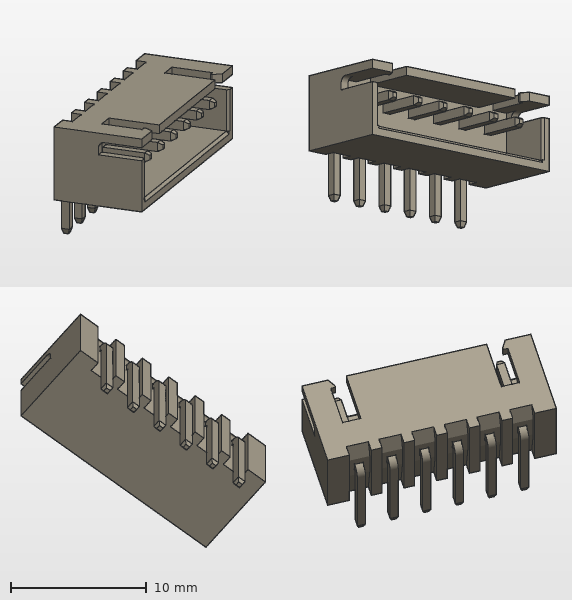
import cadquery as cq
import math


HOUSING_DEPTH = 7.0
HOUSING_LENGTH = 17.5
HOUSING_HEIGHT = 5.7
TOP_WALL = 0.68
SIDE_WALL = 0.66
FLOOR = 0.79
CAVITY_DEPTH = 4.0
LEAD_IN = 0.21
SIDE_LEAD_IN = 0.15

ARM_WIDTH = 1.98
TOP_SLOT_WIDTH = 1.4
SIDE_SLOT_DEPTH = 3.46
SIDE_SLOT_HEIGHT = 1.02
SIDE_SLOT_RADIUS = 0.5

HOOK_LENGTH = 0.79
HOOK_HEIGHT = 0.37
HOOK_FLAT = 0.14

PIN_COUNT = 6
PITCH = HOUSING_LENGTH / (PIN_COUNT + 1)
PIN_WIDTH = 0.63
CONTACT_HEIGHT = 0.72
PIN_TOP_INSET = 1.89
PIN_FRONT_INSET = 0.32
OVERALL_HEIGHT = 9.1
BEND_RADIUS = 0.74
TIP_WIDTH = 0.35
LEG_TIP_LENGTH = 0.42
CONTACT_TIP_LENGTH = 0.37
HOLE_WIDTH = 0.7

RECESS_WIDTH = 1.68
RECESS_MOUTH_DEPTH = 0.8
RECESS_DEPTH = 0.4
RECESS_TOP_SLOPE = 1.31
RECESS_BOTTOM_SLOPE = 2.48

PIN_ROW = [(i - (PIN_COUNT - 1) / 2) * PITCH for i in range(PIN_COUNT)]
PIN_TOP = HOUSING_HEIGHT - PIN_TOP_INSET
PIN_BOTTOM = HOUSING_HEIGHT - OVERALL_HEIGHT
PIN_FRONT = HOUSING_DEPTH - PIN_FRONT_INSET
CONTACT_BOTTOM = PIN_TOP - CONTACT_HEIGHT
CAVITY_BACK = HOUSING_DEPTH - CAVITY_DEPTH
CAVITY_TOP = HOUSING_HEIGHT - TOP_WALL
ARM_INNER_Y = HOUSING_LENGTH / 2 - ARM_WIDTH


def block(x_range, y_range, z_range):
    """Box between two limits on each axis."""
    (x0, x1), (y0, y1), (z0, z1) = x_range, y_range, z_range
    return cq.Workplane("XY").box(x1 - x0, y1 - y0, z1 - z0, centered=False).translate((x0, y0, z0))


def plug_cavity():
    """Cavity open at the mating face, with a lead-in on the floor and on both side walls."""
    inner_y = HOUSING_LENGTH / 2 - SIDE_WALL
    cavity = block((CAVITY_BACK, HOUSING_DEPTH), (-inner_y, inner_y), (FLOOR, CAVITY_TOP))
    floor_lead_in = (
        cq.Workplane("XZ")
        .polyline([
            (HOUSING_DEPTH - LEAD_IN, FLOOR),
            (HOUSING_DEPTH, FLOOR),
            (HOUSING_DEPTH, FLOOR - LEAD_IN),
        ])
        .close()
        .extrude(inner_y, both=True)
    )
    cavity = cavity.union(floor_lead_in)
    side_lead_in = (
        cq.Workplane("XY", origin=(0, 0, FLOOR))
        .polyline([
            (HOUSING_DEPTH - LEAD_IN, inner_y),
            (HOUSING_DEPTH, inner_y + SIDE_LEAD_IN),
            (HOUSING_DEPTH, inner_y),
        ])
        .close()
        .extrude(CAVITY_TOP - FLOOR)
    )
    return cavity.union(side_lead_in).union(side_lead_in.mirror("XZ"))


def side_slot():
    """Slot through both side walls under the latch arms, rounded at its upper blind corner."""
    slot = block(
        (HOUSING_DEPTH - SIDE_SLOT_DEPTH, HOUSING_DEPTH),
        (-HOUSING_LENGTH / 2, HOUSING_LENGTH / 2),
        (CAVITY_TOP - SIDE_SLOT_HEIGHT, CAVITY_TOP),
    )
    return slot.edges("<X and >Z").fillet(SIDE_SLOT_RADIUS)


def top_slot():
    """Slot through the top wall beside the +Y latch arm, following the outline of the arm's hook."""
    hook_start = HOUSING_DEPTH - HOOK_LENGTH
    hook_y = ARM_INNER_Y - HOOK_HEIGHT
    panel_y = ARM_INNER_Y - TOP_SLOT_WIDTH
    return (
        cq.Workplane("XY", origin=(0, 0, CAVITY_TOP))
        .polyline([
            (CAVITY_BACK, panel_y),
            (CAVITY_BACK, ARM_INNER_Y),
            (hook_start, ARM_INNER_Y),
            (hook_start, hook_y),
            (hook_start + HOOK_FLAT, hook_y),
            (HOUSING_DEPTH, ARM_INNER_Y),
            (HOUSING_DEPTH, panel_y),
        ])
        .close()
        .extrude(TOP_WALL)
    )


def rear_recess(y):
    """Recess in the rear face behind one pin, deepening toward the top and the bottom."""
    return (
        cq.Workplane("XZ", origin=(0, y, 0))
        .polyline([
            (0, 0),
            (RECESS_MOUTH_DEPTH, 0),
            (RECESS_DEPTH, RECESS_BOTTOM_SLOPE),
            (RECESS_DEPTH, HOUSING_HEIGHT - RECESS_TOP_SLOPE),
            (RECESS_MOUTH_DEPTH, HOUSING_HEIGHT),
            (0, HOUSING_HEIGHT),
        ])
        .close()
        .extrude(RECESS_WIDTH / 2, both=True)
    )


def pin_hole(y):
    """Hole for one pin, as high as its contact leg, from the rear recess into the cavity."""
    half = HOLE_WIDTH / 2
    return block((0, CAVITY_BACK), (y - half, y + half), (CONTACT_BOTTOM, PIN_TOP))


def make_housing():
    """Shrouded housing with latch arms, rear recesses and pin holes."""
    half_length = HOUSING_LENGTH / 2
    housing = block((0, HOUSING_DEPTH), (-half_length, half_length), (0, HOUSING_HEIGHT))
    housing = housing.cut(plug_cavity()).cut(side_slot())
    housing = housing.cut(top_slot()).cut(top_slot().mirror("XZ"))
    for y in PIN_ROW:
        housing = housing.cut(rear_recess(y)).cut(pin_hole(y))
    return housing


def pin_tip(plane, height, length):
    """Tapered pin end of the given base height and length, growing along the normal of the plane."""
    return (
        cq.Workplane(plane)
        .rect(PIN_WIDTH, height)
        .workplane(offset=length)
        .rect(TIP_WIDTH, TIP_WIDTH)
        .loft(combine=True)
    )


def make_pin(y):
    """Right-angle pin with one leg through the housing and one leg down."""
    half = PIN_WIDTH / 2
    leg_end = PIN_BOTTOM + LEG_TIP_LENGTH
    contact_end = PIN_FRONT - CONTACT_TIP_LENGTH
    contact_axis_z = PIN_TOP - CONTACT_HEIGHT / 2
    bend_x = BEND_RADIUS - half
    bend_z = PIN_TOP - BEND_RADIUS
    diagonal = math.sqrt(0.5)
    shank = (
        cq.Workplane("XZ")
        .moveTo(-half, leg_end)
        .lineTo(-half, bend_z)
        .threePointArc(
            (bend_x - BEND_RADIUS * diagonal, bend_z + BEND_RADIUS * diagonal),
            (bend_x, PIN_TOP),
        )
        .lineTo(contact_end, PIN_TOP)
        .lineTo(contact_end, CONTACT_BOTTOM)
        .lineTo(half, CONTACT_BOTTOM)
        .lineTo(half, leg_end)
        .close()
        .extrude(half, both=True)
    )
    leg_plane = cq.Plane(origin=(0, 0, leg_end), xDir=(1, 0, 0), normal=(0, 0, -1))
    contact_plane = cq.Plane(origin=(contact_end, 0, contact_axis_z), xDir=(0, 1, 0), normal=(1, 0, 0))
    leg_tip = pin_tip(leg_plane, PIN_WIDTH, LEG_TIP_LENGTH)
    contact_tip = pin_tip(contact_plane, CONTACT_HEIGHT, CONTACT_TIP_LENGTH)
    return shank.union(leg_tip).union(contact_tip).translate((0, y, 0))


housing = make_housing()
pins = [make_pin(y) for y in PIN_ROW]

result = cq.Compound.makeCompound([housing.val(), *[pin.val() for pin in pins]])